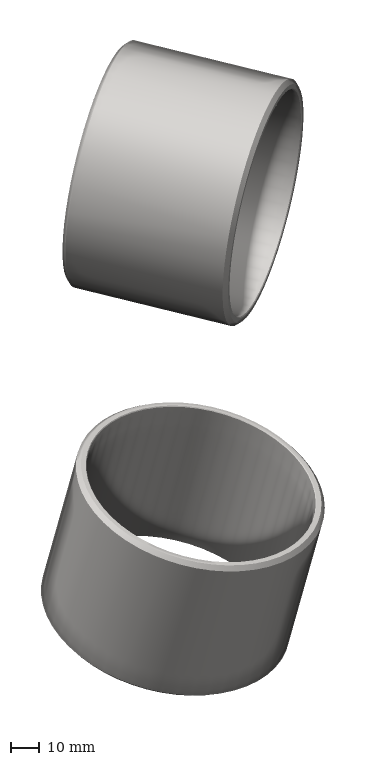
import cadquery as cq

length = 60.0
outer_diameter = 87.9
inner_diameter = 80.9

outer_bevel = 1.5

bore_bevel = 0.3

tube = (
    cq.Workplane("YZ", origin=(-length / 2, 0, 0))
    .circle(outer_diameter / 2)
    .circle(inner_diameter / 2)
    .extrude(length)
)

outer_rims = cq.selectors.RadiusNthSelector(-1)
bore_rims = cq.selectors.RadiusNthSelector(0)
result = (
    tube.edges("%CIRCLE").edges(outer_rims).chamfer(outer_bevel)
    .edges("%CIRCLE").edges(bore_rims).chamfer(bore_bevel)
)